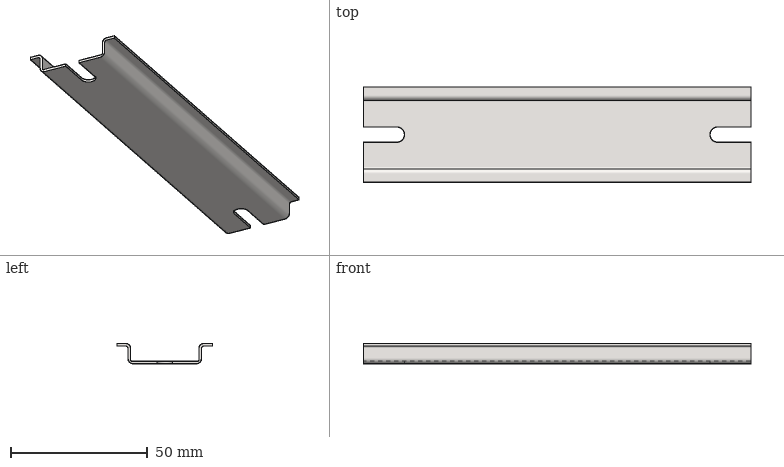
import cadquery as cq

rail_length = 142.0
rail_width = 35.0
rail_height = 7.5
sheet_thickness = 1.0
channel_width = 27.0

flange_bend_inside = 0.8
flange_bend_outside = flange_bend_inside + sheet_thickness

floor_bend_inside = 0.5
floor_bend_outside = 2.0

slot_width = 5.5
slot_depth = 15.0

half_width = rail_width / 2
web_outer_face = channel_width / 2
web_inner_face = web_outer_face - sheet_thickness
flange_bottom = rail_height - sheet_thickness


def make_sharp_rail():
    """Top-hat section with sharp corners, extruded along X about the origin."""
    right_half = [
        (web_outer_face, 0),
        (web_outer_face, flange_bottom),
        (half_width, flange_bottom),
        (half_width, rail_height),
        (web_inner_face, rail_height),
        (web_inner_face, sheet_thickness),
    ]
    left_half = [(-y, z) for y, z in reversed(right_half)]
    return (
        cq.Workplane("YZ")
        .polyline(right_half + left_half)
        .close()
        .extrude(rail_length / 2, both=True)
    )


def round_bend(rail, y, z, radius):
    """Fillet the lengthwise edges at (y, z) and at its mirror image (-y, z)."""
    edges = []
    for side in (-1, 1):
        nearest = cq.selectors.NearestToPointSelector((0, side * y, z))
        edges += rail.edges(nearest).vals()
    return rail.newObject(edges).fillet(radius)


def make_end_slots():
    """Cutters for the round-ended slots, each centred on a rail end face."""
    return (
        cq.Workplane("XY")
        .pushPoints([(-rail_length / 2, 0), (rail_length / 2, 0)])
        .slot2D(2 * slot_depth, slot_width)
        .extrude(sheet_thickness)
    )


rail = make_sharp_rail()
rail = round_bend(rail, web_inner_face, sheet_thickness, floor_bend_inside)
rail = round_bend(rail, web_outer_face, 0, floor_bend_outside)
rail = round_bend(rail, web_outer_face, flange_bottom, flange_bend_inside)
rail = round_bend(rail, web_inner_face, rail_height, flange_bend_outside)

result = rail.cut(make_end_slots())